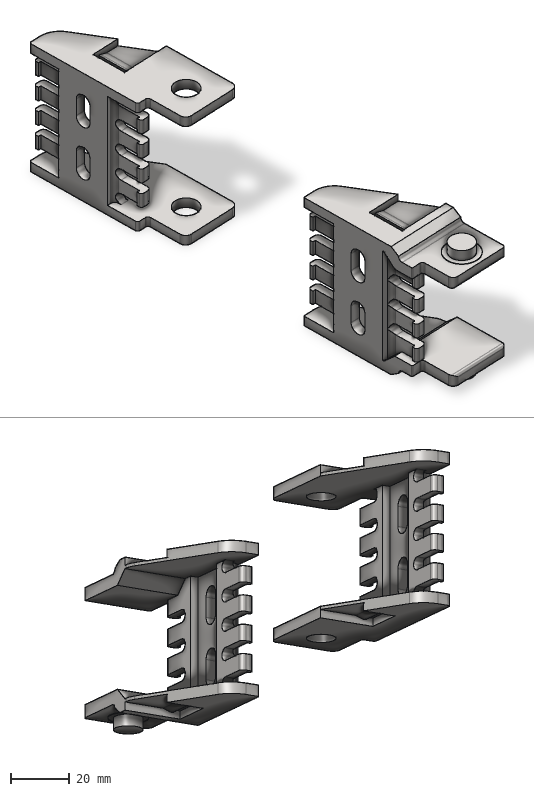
import cadquery as cq
import math

TOTAL_LENGTH = 195.5
DEPTH = 31.0
HEIGHT = 54.7
PLATE = 4.1
HALF_HEIGHT = HEIGHT / 2
INNER_HALF_HEIGHT = HALF_HEIGHT - PLATE

SLOPE_ANGLE = 30.0
SLOPE_FOOT = 10.8
NOSE_RADIUS = 9.8
STEP_DEPTH = 5.0
STEP_INNER_RADIUS = 1.2

RECESS_DEPTH = 3.0
RIDGE_HEIGHT = 1.0
RIDGE_GAP = 3.0
RIDGE_CREST = 0.8
RIDGE_RAMP = 3.1

WEB = 7.0
POCKET_FLOOR = 4.1
POCKET_HALF_WIDTH = 8.8
FINGER_FRONT = 3.5
ROOT_RADIUS = 2.0
TIP_LIP = 1.2
TIP_LENGTH = 2.2
TIP_FRONT_RADIUS = 1.2
TIP_BACK_RADIUS = 1.8
LAND_HALF_WIDTH = 11.5
FINGER_COUNT = 4
FINGER_WIDTH = 5.9
GAP_COUNT = FINGER_COUNT + 1
GAP_WIDTH = (2 * INNER_HALF_HEIGHT - FINGER_COUNT * FINGER_WIDTH) / GAP_COUNT
GAP_PITCH = FINGER_WIDTH + GAP_WIDTH
ALL_GAPS = range(GAP_COUNT)
INNER_GAPS = range(1, GAP_COUNT - 1)

SLOT_WIDTH = 6.5
SLOT_LENGTH = 13.7
SLOT_OFFSET = 11.1

PIVOT_DIAMETER = 10.2

SOCKET_LENGTH = 69.2
SOCKET_STEP_X = 51.2
SOCKET_STEP_RADIUS = 1.2
SOCKET_FRONT_RADIUS = 1.0
SOCKET_EAR_RADIUS = 2.7
SOCKET_WEB_CENTRE = 25.5
SOCKET_GAP_REACH = 12.3
SOCKET_RECESS_LEFT = 20.5
SOCKET_RECESS_RIGHT = 35.4
SOCKET_RECESS_FRONT = 10.2
SOCKET_PIVOT = (57.0, 18.0)

PIN_BRACKET_LENGTH = 65.9
PIN_STEP_X = 51.2
PIN_FRONT_RADIUS = 0.4
PIN_EAR_FRONT_RADIUS = 2.3
PIN_EAR_REAR_RADIUS = 1.2
PIN_WEB_CENTRE = 25.6
PIN_WALL_LEAN = 1.0
PIN_GAP_REACH = LAND_HALF_WIDTH + PIN_WALL_LEAN
PIN_RECESS_LEFT = 22.3
PIN_RECESS_RIGHT = 37.7
PIN_RECESS_FRONT = 9.2
PIN_CREST_RADIUS = 7.8
PIN_PIVOT = (57.3, 18.4)
PIN_TOP = 27.66
PAD_DIAMETER = 14.0
PAD_HEIGHT = 0.2
EAR_PLATE = 4.7
EAR_END_RADIUS = 1.2
SHOULDER_START = 41.3
SHOULDER_END = 44.8
SHOULDER_HOLLOW_RADIUS = 1.8
INNER_RAMP_START = 38.0
INNER_RAMP_END = 43.0


def rounded_outline(corners, plane="XY"):
    """Closed outline through (u, v, radius) corners; radius 0 leaves a corner sharp."""
    outline = None
    for index, (u, v, radius) in enumerate(corners):
        corner = cq.Vector(u, v)
        before = cq.Vector(*corners[index - 1][:2]) - corner
        after = cq.Vector(*corners[(index + 1) % len(corners)][:2]) - corner
        half_angle = before.getAngle(after) / 2
        setback = radius / math.tan(half_angle)
        start = corner + before.normalized() * setback
        if outline is None:
            outline = cq.Workplane(plane).moveTo(start.x, start.y)
        else:
            outline = outline.lineTo(start.x, start.y)
        if radius > 0:
            end = corner + after.normalized() * setback
            bisector = (before.normalized() + after.normalized()).normalized()
            middle = corner + bisector * (radius / math.sin(half_angle) - radius)
            outline = outline.threePointArc((middle.x, middle.y), (end.x, end.y))
    return outline.close()


def mirrored_pair(body):
    """The body together with its mirror image below mid-height."""
    return body.union(body.mirror("XY"))


def slope_top_x():
    return (DEPTH - SLOPE_FOOT) / math.tan(math.radians(SLOPE_ANGLE))


def plate_outline(
    length, step_x, front_radius, step_radius, crest_radius, ear_front_radius, ear_rear_radius
):
    """Side plate seen along Z: sloping nose on the left, hinge ear on the right."""
    return rounded_outline([
        (0, 0, front_radius),
        (step_x, 0, step_radius),
        (step_x, STEP_DEPTH, STEP_INNER_RADIUS),
        (length, STEP_DEPTH, ear_front_radius),
        (length, DEPTH, ear_rear_radius),
        (slope_top_x(), DEPTH, crest_radius),
        (0, SLOPE_FOOT, NOSE_RADIUS),
    ])


def latch_recess(left, right, front):
    """Volume cut from the upper plate, leaving a ramped ridge on the recess floor."""
    floor = HALF_HEIGHT - RECESS_DEPTH
    crest = floor + RIDGE_HEIGHT
    ridge_front = front + RIDGE_GAP
    ridge_back = ridge_front + RIDGE_CREST
    return (
        cq.Workplane("YZ", origin=(left, 0, 0))
        .polyline([
            (front, HALF_HEIGHT),
            (front, floor),
            (ridge_front, floor),
            (ridge_front, crest),
            (ridge_back, crest),
            (ridge_back + RIDGE_RAMP, floor),
            (DEPTH, floor),
            (DEPTH, HALF_HEIGHT),
        ])
        .close()
        .extrude(right - left)
    )


def finger_web(half_span, gap_reach, wall_lean, right_gaps):
    """Web with lipped fingers on both sides; its left fingertips lie at X = 0."""
    wall_foot = LAND_HALF_WIDTH + wall_lean
    lip_front = FINGER_FRONT - TIP_LIP
    lip_inner = half_span - TIP_LENGTH
    half = (
        cq.Workplane("XY", origin=(0, 0, -INNER_HALF_HEIGHT))
        .moveTo(0, 0)
        .lineTo(LAND_HALF_WIDTH, 0)
        .lineTo(wall_foot, FINGER_FRONT - ROOT_RADIUS)
        .radiusArc((wall_foot + ROOT_RADIUS, FINGER_FRONT), ROOT_RADIUS)
        .lineTo(lip_inner, FINGER_FRONT)
        .lineTo(lip_inner, lip_front)
        .lineTo(half_span - TIP_FRONT_RADIUS, lip_front)
        .radiusArc((half_span, lip_front + TIP_FRONT_RADIUS), -TIP_FRONT_RADIUS)
        .lineTo(half_span, WEB - TIP_BACK_RADIUS)
        .radiusArc((half_span - TIP_BACK_RADIUS, WEB), -TIP_BACK_RADIUS)
        .lineTo(POCKET_HALF_WIDTH, WEB)
        .lineTo(POCKET_HALF_WIDTH, POCKET_FLOOR)
        .lineTo(0, POCKET_FLOOR)
        .close()
        .extrude(2 * INNER_HALF_HEIGHT)
    )
    right = half.cut(finger_gaps(gap_reach, half_span, right_gaps))
    left = half.cut(finger_gaps(gap_reach, half_span, ALL_GAPS)).mirror("YZ")
    return right.union(left).translate((half_span, 0, 0))


def finger_gaps(reach, half_span, indices):
    """Round-ended gaps beside and between the fingers on one side of the web."""
    gap_radius = GAP_WIDTH / 2
    arc_centre = reach + gap_radius
    gap_length = half_span - arc_centre
    gaps = cq.Workplane("XY")
    for index in indices:
        z = (index - (GAP_COUNT - 1) / 2) * GAP_PITCH
        round_end = (
            cq.Workplane("XZ", origin=(arc_centre, 0, z)).circle(gap_radius).extrude(-WEB)
        )
        opening = cq.Workplane("XY").box(gap_length, WEB, GAP_WIDTH, centered=(False, False, True))
        gaps = gaps.add(round_end.union(opening.translate((arc_centre, 0, z))))
    return gaps.combine()


def screw_slots(centre):
    return (
        cq.Workplane("XZ")
        .pushPoints([(centre, -SLOT_OFFSET), (centre, SLOT_OFFSET)])
        .slot2D(SLOT_LENGTH, SLOT_WIDTH, 90)
        .extrude(-WEB)
    )


def upper_cylinder(position, diameter, bottom, top):
    return (
        cq.Workplane("XY", origin=(*position, bottom)).circle(diameter / 2).extrude(top - bottom)
    )


def make_socket_bracket():
    """Bracket with straight side plates and a pivot hole in each ear."""
    plate = (
        plate_outline(
            SOCKET_LENGTH, SOCKET_STEP_X, SOCKET_FRONT_RADIUS, SOCKET_STEP_RADIUS,
            0, SOCKET_EAR_RADIUS, SOCKET_EAR_RADIUS,
        )
        .extrude(PLATE)
        .translate((0, 0, INNER_HALF_HEIGHT))
    )
    plate = plate.cut(latch_recess(SOCKET_RECESS_LEFT, SOCKET_RECESS_RIGHT, SOCKET_RECESS_FRONT))
    plate = plate.cut(upper_cylinder(SOCKET_PIVOT, PIVOT_DIAMETER, INNER_HALF_HEIGHT, HALF_HEIGHT))
    web = finger_web(SOCKET_WEB_CENTRE, SOCKET_GAP_REACH, 0, ALL_GAPS)
    return mirrored_pair(plate).union(web).cut(screw_slots(SOCKET_WEB_CENTRE))


def cranked_plate():
    """Upper side plate whose ear is set inward by one plate thickness."""
    ear_inner = INNER_HALF_HEIGHT - EAR_PLATE
    section = (
        cq.Workplane("XZ")
        .moveTo(0, INNER_HALF_HEIGHT)
        .lineTo(0, HALF_HEIGHT)
        .lineTo(SHOULDER_START, HALF_HEIGHT)
        .lineTo(SHOULDER_END, INNER_HALF_HEIGHT + SHOULDER_HOLLOW_RADIUS)
        .radiusArc(
            (SHOULDER_END + SHOULDER_HOLLOW_RADIUS, INNER_HALF_HEIGHT), -SHOULDER_HOLLOW_RADIUS
        )
        .lineTo(PIN_BRACKET_LENGTH, INNER_HALF_HEIGHT)
        .lineTo(PIN_BRACKET_LENGTH, ear_inner + EAR_END_RADIUS)
        .radiusArc((PIN_BRACKET_LENGTH - EAR_END_RADIUS, ear_inner), EAR_END_RADIUS)
        .lineTo(INNER_RAMP_END, ear_inner)
        .lineTo(INNER_RAMP_START, INNER_HALF_HEIGHT)
        .close()
        .extrude(-DEPTH)
    )
    outline = plate_outline(
        PIN_BRACKET_LENGTH, PIN_STEP_X, PIN_FRONT_RADIUS, PIN_FRONT_RADIUS,
        PIN_CREST_RADIUS, PIN_EAR_FRONT_RADIUS, PIN_EAR_REAR_RADIUS,
    )
    return section.intersect(outline.extrude(HALF_HEIGHT))


def make_pin_bracket():
    """Bracket with inward-set ears, each carrying a pivot pin on a low pad."""
    plate = cranked_plate()
    plate = plate.cut(latch_recess(PIN_RECESS_LEFT, PIN_RECESS_RIGHT, PIN_RECESS_FRONT))
    pad_top = INNER_HALF_HEIGHT + PAD_HEIGHT
    plate = plate.union(upper_cylinder(PIN_PIVOT, PAD_DIAMETER, INNER_HALF_HEIGHT, pad_top))
    plate = plate.union(upper_cylinder(PIN_PIVOT, PIVOT_DIAMETER, INNER_HALF_HEIGHT, PIN_TOP))
    web = finger_web(PIN_WEB_CENTRE, PIN_GAP_REACH, PIN_WALL_LEAN, INNER_GAPS)
    bracket = mirrored_pair(plate).union(web).cut(screw_slots(PIN_WEB_CENTRE))
    return bracket.translate((TOTAL_LENGTH - PIN_BRACKET_LENGTH, 0, 0))


socket_bracket = make_socket_bracket()
pin_bracket = make_pin_bracket()
result = cq.Compound.makeCompound([socket_bracket.solids().val(), pin_bracket.solids().val()])